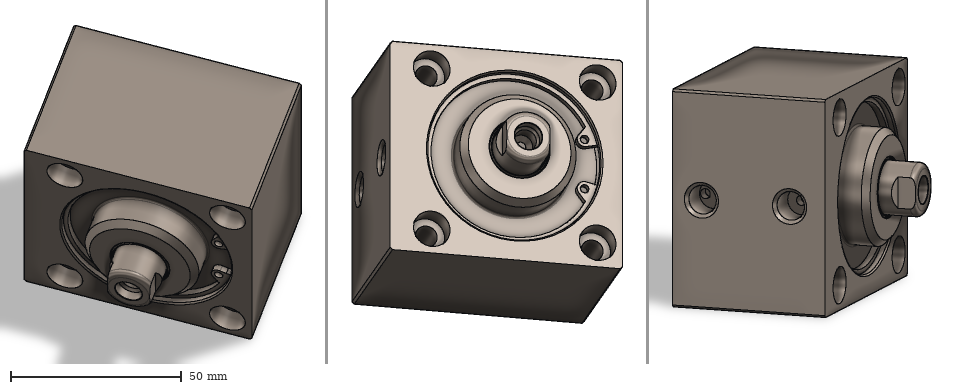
import cadquery as cq
import math


block_width = 70.0
block_height = 65.0
block_depth = 47.5
axis_offset = 2.5
edge_chamfer = 0.7

bore_radius = 52.2 / 2
bore_chamfer = 0.5
seat_depth = 4.1
ring_thickness = 2.0
groove_radius = 27.2

bolt_spacing = 50.0
bolt_hole_diameter = 6.5
counterbore_diameter = 11.0
counterbore_depth = 6.8

port_diameter = 8.55
port_mouth_diameter = 10.65
port_depth = 10.0
passage_diameter = 3.0
passage_depth = 14.0
front_port_y = 11.0
rear_port_y = 38.5
rear_passage_shift = 2.45

flange_radius = 25.7
flange_thickness = 5.0
hub_radius = 35.0 / 2
hub_height = 6.0
hub_chamfer = 2.0
hub_fillet = 0.6
wiper_mouth_radius = 18.4 / 2
wiper_radius = 18.0 / 2
wiper_depth = 0.7
lip_base_radius = 17.7 / 2
lip_tip_radius = 8.5
lip_tip_depth = 0.15
clearance_radius = 16.5 / 2
clearance_depth = 2.1

ring_inner_radius = 24.7
lug_radius = 2.25
lug_hole_diameter = 2.5
lug_x = 21.55
lug_z = 7.7
lug_corner_angle = 28.2
ring_end_angle = 13.9

rod_radius = 16.0 / 2
rod_height = 16.95
rod_fillet = 1.75
flat_width = 13.0
flat_length = 5.5
thread_mouth_radius = 8.55 / 2
thread_radius = 8.25 / 2
thread_depth = 3.0
core_radius = 6.65 / 2
core_depth = 8.4
drill_tip_radius = 3.0 / 2
drill_tip_length = 1.05

left_face = -block_width / 2 - axis_offset
flange_back = seat_depth + flange_thickness


def revolve_profile(points):
    """Turn (radius, Y) points, listed around a closed outline, about the Y axis."""
    return cq.Workplane("XY").polyline(points).close().revolve(360, (0, 0), (0, 1))


def cylinder_y(radius, start, end, x=0.0, z=0.0):
    """A cylinder along Y from start to end."""
    solid = cq.Solid.makeCylinder(radius, end - start, cq.Vector(x, start, z), cq.Vector(0, 1, 0))
    return cq.Workplane(solid)


def cut_side_port(housing, port_y, passage_y):
    """Sink a port with a conical mouth and a narrow passage into the -X side."""
    inward = cq.Vector(1, 0, 0)
    mouth_depth = (port_mouth_diameter - port_diameter) / 2
    mouth = cq.Solid.makeCone(
        port_mouth_diameter / 2, port_diameter / 2, mouth_depth, cq.Vector(left_face, port_y, 0), inward
    )
    port = cq.Solid.makeCylinder(port_diameter / 2, port_depth, cq.Vector(left_face, port_y, 0), inward)
    passage = cq.Solid.makeCylinder(
        passage_diameter / 2, passage_depth, cq.Vector(left_face, passage_y, 0), inward
    )
    return housing.cut(cq.Workplane(mouth)).cut(cq.Workplane(port)).cut(cq.Workplane(passage))


def make_housing():
    housing = (
        cq.Workplane("XY")
        .box(block_width, block_depth, block_height)
        .edges("|Y")
        .chamfer(edge_chamfer)
        .translate((-axis_offset, block_depth / 2, 0))
    )
    bore = revolve_profile([
        (0, 0),
        (bore_radius + bore_chamfer, 0),
        (bore_radius, bore_chamfer),
        (bore_radius, seat_depth - ring_thickness),
        (groove_radius, seat_depth - ring_thickness),
        (groove_radius, seat_depth),
        (flange_radius, seat_depth),
        (flange_radius, flange_back),
        (0, flange_back),
    ])
    housing = housing.cut(bore)
    for side_x in (-1, 1):
        for side_z in (-1, 1):
            x = side_x * bolt_spacing / 2
            z = side_z * bolt_spacing / 2
            housing = housing.cut(cylinder_y(bolt_hole_diameter / 2, 0, block_depth, x, z))
            housing = housing.cut(cylinder_y(counterbore_diameter / 2, 0, counterbore_depth, x, z))
    housing = cut_side_port(housing, front_port_y, front_port_y)
    return cut_side_port(housing, rear_port_y, rear_port_y + rear_passage_shift)


def polar(radius, angle):
    """The (X, Z) point at a radius and an angle in degrees from +X."""
    return radius * math.cos(math.radians(angle)), radius * math.sin(math.radians(angle))


def lug_tangent(point, side):
    """Touch point on the lug circle of a line from an outside point, on the chosen side (+1 or -1)."""
    dx = point[0] - lug_x
    dz = point[1] - lug_z
    direction = math.atan2(dz, dx) + side * math.acos(lug_radius / math.hypot(dx, dz))
    return lug_x + lug_radius * math.cos(direction), lug_z + lug_radius * math.sin(direction)


def extrude_ring_shape(sketch):
    """Extrude an XZ sketch through the thickness of the ring, forward from the cover flange."""
    return sketch.extrude(ring_thickness).translate((0, seat_depth, 0))


def make_lug():
    """The lug on the +Z end of the ring."""
    corner = polar(ring_inner_radius, lug_corner_angle)
    rim = polar(bore_radius, lug_corner_angle)
    ring_end = polar(bore_radius, ring_end_angle)
    web = extrude_ring_shape(
        cq.Workplane("XZ")
        .polyline([rim, corner, lug_tangent(corner, 1), (lug_x, lug_z), lug_tangent(ring_end, -1), ring_end])
        .close()
    )
    eye = extrude_ring_shape(cq.Workplane("XZ").center(lug_x, lug_z).circle(lug_radius))
    hole = extrude_ring_shape(cq.Workplane("XZ").center(lug_x, lug_z).circle(lug_hole_diameter / 2))
    return web.union(eye).cut(hole)


def make_ring():
    """The open ring that fills the groove, with a lug at each end."""
    gap_reach = 2 * groove_radius
    ring = extrude_ring_shape(cq.Workplane("XZ").circle(groove_radius).circle(ring_inner_radius))
    gap = extrude_ring_shape(
        cq.Workplane("XZ")
        .polyline([(0, 0), polar(gap_reach, ring_end_angle), polar(gap_reach, -ring_end_angle)])
        .close()
    )
    lug = make_lug()
    return ring.cut(gap).union(lug).union(lug.mirror("XY"))


def make_cover():
    """Flange, hub with a wiper lip around the rod, and the retaining ring in front of the flange."""
    cover = revolve_profile([
        (rod_radius, flange_back),
        (flange_radius, flange_back),
        (flange_radius, seat_depth),
        (hub_radius, seat_depth),
        (hub_radius, hub_chamfer - hub_height),
        (hub_radius - hub_chamfer, -hub_height),
        (wiper_mouth_radius, -hub_height),
        (wiper_radius, -hub_height + wiper_mouth_radius - wiper_radius),
        (wiper_radius, -hub_height + wiper_depth),
        (lip_base_radius, -hub_height + wiper_depth),
        (lip_tip_radius, -hub_height + lip_tip_depth),
        (clearance_radius, -hub_height + lip_tip_depth),
        (clearance_radius, -hub_height + clearance_depth),
        (rod_radius, -hub_height + clearance_depth),
    ])
    flange_front = cq.selectors.NearestToPointSelector((0, seat_depth, (hub_radius + flange_radius) / 2))
    hub_base = cq.selectors.RadiusNthSelector(0)
    cover = cover.faces(flange_front).edges(hub_base).fillet(hub_fillet)
    return cover.union(make_ring())


def make_rod():
    tip = -rod_height
    rod = cylinder_y(rod_radius, tip, flange_back).faces("<Y").edges().fillet(rod_fillet)
    half_flat = flat_width / 2
    reach = 2 * rod_radius
    for side in (-1, 1):
        flat = (
            cq.Workplane("XY")
            .polyline([
                (side * half_flat, tip),
                (side * half_flat, tip + flat_length),
                (side * reach, tip + flat_length + reach - half_flat),
                (side * reach, tip),
            ])
            .close()
            .extrude(rod_radius, both=True)
        )
        rod = rod.cut(flat)
    threaded_hole = revolve_profile([
        (0, tip),
        (thread_mouth_radius, tip),
        (thread_radius, tip + thread_mouth_radius - thread_radius),
        (thread_radius, tip + thread_depth),
        (core_radius, tip + thread_depth + thread_radius - core_radius),
        (core_radius, tip + core_depth),
        (drill_tip_radius, tip + core_depth + drill_tip_length),
        (0, tip + core_depth + drill_tip_length),
    ])
    return rod.cut(threaded_hole)


housing = make_housing()
cover = make_cover()
rod = make_rod()

result = cq.Compound.makeCompound([housing.val(), cover.val(), rod.val()])